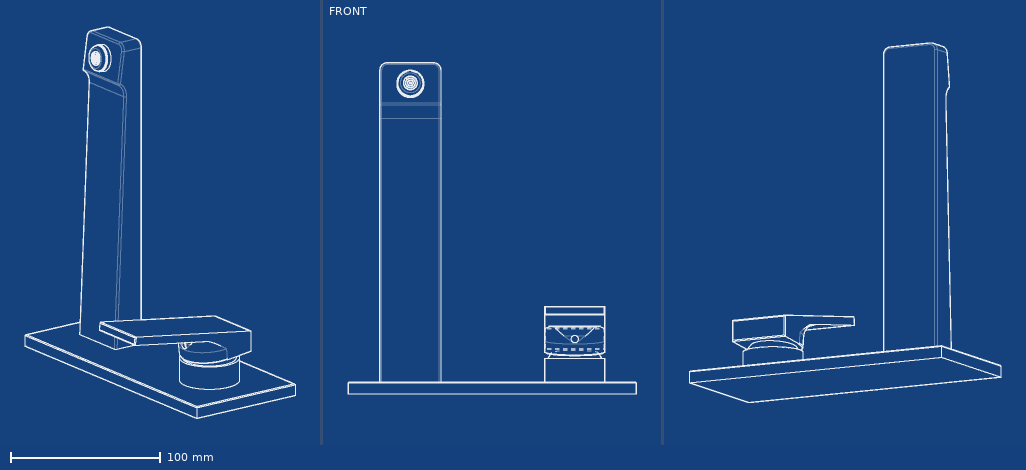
import cadquery as cq
import math

PLATE_LENGTH = 193.0
PLATE_WIDTH = 82.5
PLATE_HEIGHT = 8.2
PLATE_EDGE = 0.7

TOTAL_HEIGHT = 222
SPOUT_X = -54.8
SPOUT_WIDTH = 41.0
SPOUT_BACK_Y = 10.5
SPOUT_FOOT_Y = -12.2
SPOUT_TOP_Y = -5.0
NECK_Y = -4.0
NECK_Z = 184.7
LIP_Y = -9.0
LIP_Z = 194.0
LIP_BULGE = 1.0
SPOUT_CORNER_RADIUS = 5.0
SPOUT_EDGE_RADIUS = 1.3

AERATOR_Z = 207.5
FLANGE_RADIUS = 9.0
FLANGE_HEIGHT = 2.9
SEAM_RADIUS = 8.2
SEAM_HEIGHT = 0.7
NOZZLE_RADIUS = 8.7
NOZZLE_HEIGHT = 6.2
NOZZLE_ROUNDING = 2.0
RING_COUNT = 4
RING_PITCH = 1.3
RING_WIDTH = 0.2
RING_DEPTH = 0.7
EMBED = 2.2

LEVER_X = 55.3
BODY_RADIUS = 20.2
BODY_TOP_Z = 24.0
BALL_RADIUS = 20
BALL_Z = 15.3
CAP_BASE_Z = 27.8
CAP_TILT = 6.2
CAP_EDGE = 0.7
CAP_REACH = 2 * BODY_RADIUS
FRONT_FLARE_START = 13.5
FRONT_FLARE_RADIUS = 6.7
CORNER_FLARE_START = 8.0
CORNER_FLARE_RADIUS = 12.9
SCREW_RADIUS = 2.5
SCREW_Z = 36.9
SCREW_DEPTH = 1.3

LEVER_BACK_TOP_Z = 44.2
LEVER_TILT = 8.6
LEVER_THICKNESS = 5.8
LEVER_EDGE = 0.7
TOTAL_DEPTH = 118.8

cap_lean = math.radians(CAP_TILT)
lever_slope = math.tan(math.radians(LEVER_TILT))
lever_drop = LEVER_THICKNESS / math.cos(math.radians(LEVER_TILT))
tip_overhang = (LEVER_THICKNESS - LEVER_EDGE) * math.sin(math.radians(LEVER_TILT))


def lever_top_z(y):
    """Height of the sloping lever top at a given Y."""
    return LEVER_BACK_TOP_Z + (BODY_RADIUS - y) * lever_slope


def side_profile(center_x, width):
    """YZ sketch plane from which a positive extrusion fills the given width about center_x."""
    return cq.Workplane("YZ", origin=(center_x - width / 2, 0, 0))


def make_plate():
    plate = cq.Workplane("XY").box(PLATE_LENGTH, PLATE_WIDTH, PLATE_HEIGHT, centered=(True, True, False))
    return plate.faces(">Z").edges().chamfer(PLATE_EDGE)


def make_spout():
    """Tapered column with a concave throat below the forward-leaning head."""
    arc_mid = ((NECK_Y + LIP_Y) / 2 + LIP_BULGE, (NECK_Z + LIP_Z) / 2 + LIP_BULGE)
    column = (
        side_profile(SPOUT_X, SPOUT_WIDTH)
        .moveTo(SPOUT_BACK_Y, 0)
        .lineTo(SPOUT_FOOT_Y, 0)
        .lineTo(NECK_Y, NECK_Z)
        .threePointArc(arc_mid, (LIP_Y, LIP_Z))
        .lineTo(SPOUT_TOP_Y, TOTAL_HEIGHT)
        .lineTo(SPOUT_BACK_Y, TOTAL_HEIGHT)
        .close()
        .extrude(SPOUT_WIDTH)
    )
    column = column.faces(">Z").edges("|Y").fillet(SPOUT_CORNER_RADIUS)
    lip_edge = cq.selectors.NearestToPointSelector((SPOUT_X, LIP_Y, LIP_Z))
    column = column.edges(lip_edge).fillet(SPOUT_EDGE_RADIUS)
    outline_edges = "(not (|X or |Y or <Z)) or (|X and >Z)"
    return column.edges(outline_edges).fillet(SPOUT_EDGE_RADIUS)


def make_aerator():
    """Stepped round outlet standing square on the sloping head face."""
    lean = (SPOUT_TOP_Y - LIP_Y) / (TOTAL_HEIGHT - LIP_Z)
    face_y = LIP_Y + (AERATOR_Z - LIP_Z) * lean
    face = cq.Plane(origin=(SPOUT_X, face_y, AERATOR_Z), xDir=(1, 0, 0), normal=(0, -1, lean))
    plane = cq.Workplane(face)
    flange = plane.workplane(offset=-EMBED).circle(FLANGE_RADIUS).extrude(EMBED + FLANGE_HEIGHT)
    seam = plane.circle(SEAM_RADIUS).extrude(FLANGE_HEIGHT + SEAM_HEIGHT)
    nozzle_start = FLANGE_HEIGHT + SEAM_HEIGHT
    nozzle = plane.workplane(offset=nozzle_start).circle(NOZZLE_RADIUS).extrude(NOZZLE_HEIGHT - nozzle_start)
    nozzle = nozzle.faces(cq.selectors.DirectionMinMaxSelector(face.zDir)).edges().fillet(NOZZLE_ROUNDING)
    aerator = flange.union(seam).union(nozzle)
    groove_floor = plane.workplane(offset=NOZZLE_HEIGHT - RING_DEPTH)
    for ring in range(RING_COUNT):
        outer_radius = (ring + 0.5) * RING_PITCH
        groove = groove_floor.circle(outer_radius).circle(outer_radius - RING_WIDTH).extrude(RING_DEPTH)
        aerator = aerator.cut(groove)
    return aerator


def make_mixer_body():
    """Cylindrical body closed by the ball joint that carries the lever."""
    body = cq.Workplane("XY").center(LEVER_X, 0).circle(BODY_RADIUS).extrude(BODY_TOP_Z)
    ball = cq.Workplane("XY").sphere(BALL_RADIUS, angle1=0).translate((LEVER_X, 0, BALL_Z))
    return body.union(ball)


def make_lever():
    tip_top_y = PLATE_WIDTH / 2 - TOTAL_DEPTH + tip_overhang
    tip_top_z = lever_top_z(tip_top_y)
    tip_bottom_y = tip_top_y - LEVER_THICKNESS * math.sin(math.radians(LEVER_TILT))
    tip_bottom_z = tip_top_z - LEVER_THICKNESS * math.cos(math.radians(LEVER_TILT))
    lever = (
        side_profile(LEVER_X, 2 * BODY_RADIUS)
        .moveTo(BODY_RADIUS, lever_top_z(BODY_RADIUS))
        .lineTo(tip_top_y, tip_top_z)
        .lineTo(tip_bottom_y, tip_bottom_z)
        .lineTo(BODY_RADIUS, lever_top_z(BODY_RADIUS) - lever_drop)
        .close()
        .extrude(2 * BODY_RADIUS)
    )
    return lever.faces("<Y").edges().chamfer(LEVER_EDGE)


def cap_outline(inner_radius, flare_start, flare_radius, flare_sweep):
    """Half outline of the cap, widening in a concave arc above flare_start.

    The first coordinate runs outward from the cap axis, the second along it.
    """

    def flare_point(angle):
        outward = BODY_RADIUS + flare_radius * (1 - math.cos(angle))
        return (outward, flare_start + flare_radius * math.sin(angle))

    flare_end = flare_point(flare_sweep)
    slant = cq.Plane(
        origin=(LEVER_X, 0, CAP_BASE_Z),
        xDir=(0, -math.cos(cap_lean), -math.sin(cap_lean)),
        normal=(-1, 0, 0),
    )
    return (
        cq.Workplane(slant)
        .moveTo(inner_radius, 0)
        .lineTo(BODY_RADIUS - CAP_EDGE, 0)
        .lineTo(BODY_RADIUS, CAP_EDGE)
        .lineTo(BODY_RADIUS, flare_start)
        .threePointArc(flare_point(flare_sweep / 2), flare_end)
        .lineTo(flare_end[0], CAP_REACH)
        .lineTo(inner_radius, CAP_REACH)
        .close()
    )


def make_cap():
    """Leaning cap: square at the back, round at the front, flaring into the lever."""
    round_part = cap_outline(0, CORNER_FLARE_START, CORNER_FLARE_RADIUS, math.radians(90))
    round_part = round_part.revolve(360, (0, 0, 0), (0, 1, 0))
    lever_angle = math.radians(90 - CAP_TILT - LEVER_TILT)
    front_limit = cap_outline(-CAP_REACH, FRONT_FLARE_START, FRONT_FLARE_RADIUS, lever_angle)
    front_limit = front_limit.extrude(BODY_RADIUS, both=True)
    square_base = cq.Plane(
        origin=(LEVER_X, 0, CAP_BASE_Z),
        xDir=(1, 0, 0),
        normal=(0, -math.sin(cap_lean), math.cos(cap_lean)),
    )
    square_part = cq.Workplane(square_base).center(0, CAP_REACH / 2).rect(2 * BODY_RADIUS, CAP_REACH)
    cap = round_part.intersect(front_limit).union(square_part.extrude(CAP_REACH))
    envelope = (
        side_profile(LEVER_X, 2 * BODY_RADIUS)
        .moveTo(BODY_RADIUS, 0)
        .lineTo(BODY_RADIUS, lever_top_z(BODY_RADIUS) - lever_drop / 2)
        .lineTo(-CAP_REACH, lever_top_z(-CAP_REACH) - lever_drop / 2)
        .lineTo(-CAP_REACH, 0)
        .close()
        .extrude(2 * BODY_RADIUS)
    )
    return cap.intersect(envelope)


def make_screw_recess():
    """Blind hole in the front of the cap for the set screw."""
    recess = cq.Workplane("XZ", origin=(LEVER_X, SCREW_DEPTH - BODY_RADIUS, SCREW_Z))
    return recess.circle(SCREW_RADIUS).extrude(BODY_RADIUS)


def make_handle():
    """Lever and cap joined, with a softened flat back and a set screw hole."""
    handle = make_lever().union(make_cap()).clean()
    handle = handle.faces(">Y").edges().chamfer(LEVER_EDGE)
    return handle.cut(make_screw_recess())


result = make_plate().union(make_spout()).union(make_aerator()).union(make_mixer_body()).union(make_handle())